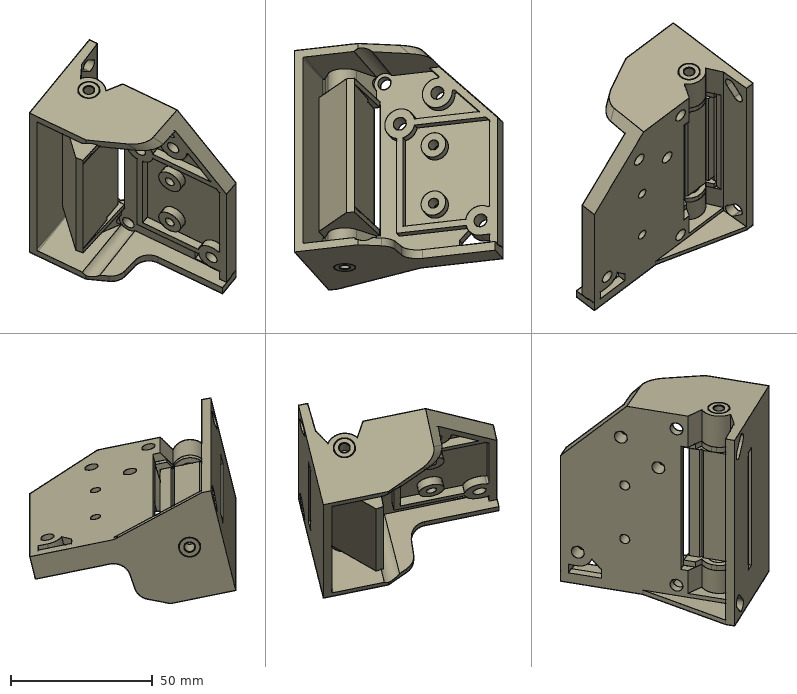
import cadquery as cq
import math

WIDTH = 68.0
DEPTH = 40.0
HEIGHT = 76.0
MID_Z = HEIGHT / 2
DRAFT = 1.2
DRAFT_SLOPE = math.tan(math.radians(DRAFT))

FLOOR_BACK = 28.9
FLOOR_FRONT = 25.8
RIM_FRONT = 22.65
LEDGE_FRONT = 19.8

WALL = 2.9
WALL_AT_FLOOR = WALL + FLOOR_FRONT * DRAFT_SLOPE
WALL_STOCK = 3.95
BACK_WALL = 1.8
PLATE_FRONT = 3.1
PLATE_MID = 3.7
PLATE_BACK = 3.35
SLOPE_START = 23.55
SLOPE = 0.463
BACK_SLOPE_END = 37.55
TIP_FRONT_X = 34.3
TIP_BACK_X = 35.6
ROUNDING = 6.1
CHAMFER_SUM = 119.5

RIM_INNER_X = 65.05
RIM_INNER_SUM = 115.4
RIB = 2.35
RIB_LEFT = 30.6
UPPER_RIB_Z = 51.75
LOWER_RIB_Z = 11.7
BOSS_RADIUS = 5.55
GROOVE_ROUNDING = 0.5
SCREW_RADIUS = 2.35
UPPER_BOSS = (45.7, 62.9)
MIDDLE_BOSS = (31.8, 52.9)
LOWER_BOSS = (61.6, 13.0)
PAD_RADIUS = 4.55
PAD_HOLE_RADIUS = 1.8
PADS = [(44.2, 43.5), (44.2, 21.5)]
CORNER_SCREW_X = 25.1
CORNER_SCREW_Z = 6.0
COUNTERBORE_RADIUS = 3.8
OPENING_LEFT = 52.9
OPENING_TOP = LOWER_BOSS[1] - BOSS_RADIUS
OPENING_BOTTOM = 3.5

AXIS_X = 12.15
AXIS_Y = 20.15
HUB_RADIUS = 5.7
HUB_TIP = 5.3
HUB_TIP_FRONT = 17.5
HUB_TIP_BACK = 23.1
HUB_END = 12.8
HUB_LEFT_X = 4.25
HUB_RIGHT_X = 22.2
NOTCH_RIGHT_X = 20.8
WINDOW_LEFT = 4.2
WINDOW_RIGHT = 23.5
PIN_RADIUS = 3.65
PIN_CLEARANCE = 0.2
BORE_RADIUS = 1.8
BORE_CHAMFER = 0.2
BORE_DEPTH = 6.1

SLOT_FRONT = 20.4
SLOT_BACK = 24.0
SLOT_LENGTH = 48.0
MOUNT_SLOT_Y = 33.9
MOUNT_SLOT_Z = 5.9
MOUNT_SLOT_LENGTH = 9.6
MOUNT_SLOT_WIDTH = 4.5

PADDLE_END = HUB_END
ARM_INNER = 14.9
CORE_END = 16.0
CREST_X = 19.15
CREST_Y = 0.3
PADDLE_LEFT = 4.1
PADDLE_RIGHT = 22.0
PADDLE_RIGHT_Y = 0.6
ARM_RIGHT = 23.4
ARM_BACK = FLOOR_FRONT
NOSE_X = 0.45
NOSE_Y = 23.1
GAP_FRONT = 16.7

REACH = 91.2


def box(x0, x1, y0, y1, z0, z1):
    return cq.Workplane("XY").box(x1 - x0, y1 - y0, z1 - z0, centered=False).translate((x0, y0, z0))


def facing_front(back):
    """Sketch plane in X and Z at depth `back`; extrusions run towards the front."""
    return cq.Workplane("XZ", origin=(0, back, 0))


def cylinder(center, radius, front, back):
    return facing_front(back).center(*center).circle(radius).extrude(back - front)


def mirror_z(body):
    """Copy of a body on the other side of the middle height."""
    return body.mirror("XY", (0, 0, MID_Z))


def outside_of(normal, point):
    """Everything beyond the plane through `point` whose outward direction is `normal`."""
    plane = cq.Plane(origin=point, xDir=(normal[2], 0, -normal[0]), normal=normal)
    return cq.Workplane(plane).rect(2 * REACH, 2 * REACH).extrude(REACH)


def slope_y(x):
    return SLOPE * (x - SLOPE_START)


beyond_chamfer = outside_of((1, -math.sqrt(2) * DRAFT_SLOPE, 1), (CHAMFER_SUM - HEIGHT, FLOOR_BACK, HEIGHT))
beyond_right = outside_of((1, -DRAFT_SLOPE, 0), (WIDTH, FLOOR_BACK, 0))


def mounting_plate():
    outline = [(0, 0), (WALL_STOCK, 0), (PLATE_MID, FLOOR_BACK), (PLATE_BACK, DEPTH), (0, DEPTH)]
    return cq.Workplane("XY").polyline(outline).close().extrude(HEIGHT)


def bottom_wall():
    outline = [
        (0, 0),
        (SLOPE_START, 0),
        (TIP_FRONT_X, slope_y(TIP_FRONT_X)),
        (TIP_BACK_X, LEDGE_FRONT),
        (WIDTH, LEDGE_FRONT),
        (WIDTH, FLOOR_BACK),
        (BACK_SLOPE_END, FLOOR_BACK),
        (PLATE_BACK, DEPTH),
        (0, DEPTH),
    ]
    wall = cq.Workplane("XY").polyline(outline).close().extrude(WALL_STOCK)
    for corner in (outline[2], outline[3]):
        edge = cq.selectors.NearestToPointSelector((*corner, WALL_STOCK / 2))
        wall = wall.edges(edge).fillet(ROUNDING)
    return wall


def top_wall():
    outline = [
        (0, 0),
        (SLOPE_START, 0),
        (WIDTH, slope_y(WIDTH)),
        (WIDTH, FLOOR_BACK),
        (0, FLOOR_BACK),
    ]
    block = cq.Workplane("XY", origin=(0, 0, HEIGHT - 2 * WALL_STOCK)).polyline(outline).close()
    block = block.extrude(3 * WALL_STOCK).cut(beyond_chamfer)
    corner_z = HEIGHT - WALL_STOCK / 2
    corner_x = CHAMFER_SUM - corner_z
    edge = cq.selectors.NearestToPointSelector((corner_x, slope_y(corner_x), corner_z))
    block = block.edges(edge).fillet(ROUNDING)
    return block.intersect(box(0, WIDTH, 0, DEPTH, HEIGHT - WALL_STOCK, HEIGHT))


def cavity():
    """Space between the walls; it widens towards the front by the draft angle."""
    inset = FLOOR_FRONT * DRAFT_SLOPE
    height = HEIGHT - 2 * WALL_AT_FLOOR
    return (
        facing_front(FLOOR_FRONT)
        .center(PLATE_FRONT + inset + REACH / 2, MID_Z)
        .rect(REACH, height)
        .extrude(FLOOR_FRONT, taper=-DRAFT)
    )


def back_cavity():
    """Space behind the floor, above the thin back part of the bottom wall."""
    outline = [(PLATE_MID, FLOOR_BACK), (WIDTH, FLOOR_BACK), (WIDTH, DEPTH), (PLATE_BACK, DEPTH)]
    return cq.Workplane("XY", origin=(0, 0, BACK_WALL)).polyline(outline).close().extrude(HEIGHT)


def floor_and_rim():
    def corner_cut_outline(right, corner_sum, back, depth):
        outline = [(0, 0), (right, 0), (right, corner_sum - right), (corner_sum - HEIGHT, HEIGHT), (0, HEIGHT)]
        return facing_front(back).polyline(outline).close().extrude(depth)

    full = corner_cut_outline(WIDTH, CHAMFER_SUM, FLOOR_BACK, FLOOR_BACK - RIM_FRONT)
    recess = corner_cut_outline(RIM_INNER_X, RIM_INNER_SUM, FLOOR_FRONT, FLOOR_FRONT - RIM_FRONT)
    return full.cut(recess).cut(beyond_chamfer).cut(beyond_right)


def ribs_and_bosses():
    upper_end = RIM_INNER_SUM - UPPER_RIB_Z
    lower_end = LOWER_BOSS[0]
    raised = box(MIDDLE_BOSS[0], upper_end, RIM_FRONT, FLOOR_FRONT, UPPER_RIB_Z, UPPER_RIB_Z + RIB)
    raised = raised.union(box(RIB_LEFT, lower_end, RIM_FRONT, FLOOR_FRONT, LOWER_RIB_Z, LOWER_RIB_Z + RIB))
    raised = raised.union(
        box(RIB_LEFT, RIB_LEFT + RIB, RIM_FRONT, FLOOR_FRONT, LOWER_RIB_Z, MIDDLE_BOSS[1])
    )
    raised = raised.union(
        box(LOWER_BOSS[0], RIM_INNER_X, RIM_FRONT, FLOOR_BACK, OPENING_TOP, LOWER_BOSS[1])
    )
    for center in (UPPER_BOSS, MIDDLE_BOSS, LOWER_BOSS):
        raised = raised.union(cylinder(center, BOSS_RADIUS, RIM_FRONT, FLOOR_BACK))
    for center in PADS:
        raised = raised.union(cylinder(center, PAD_RADIUS, RIM_FRONT, FLOOR_BACK))
    return raised


def floor_opening():
    """Opening beside the lower boss, with a slanted top left corner."""
    slant = LOWER_RIB_Z - OPENING_TOP
    outline = [
        (OPENING_LEFT, OPENING_BOTTOM),
        (RIM_INNER_X, OPENING_BOTTOM),
        (RIM_INNER_X, OPENING_TOP),
        (LOWER_BOSS[0], LOWER_RIB_Z),
        (OPENING_LEFT + slant, LOWER_RIB_Z),
        (OPENING_LEFT, OPENING_TOP),
    ]
    return facing_front(FLOOR_BACK).polyline(outline).close().extrude(FLOOR_BACK - RIM_FRONT)


def front_relief():
    """Floor with its rim, ribs and bosses; the sharp grooves between bosses and rim are rounded."""
    relief = floor_and_rim().cut(floor_opening()).union(ribs_and_bosses())
    to_slant = (RIM_INNER_SUM - sum(UPPER_BOSS)) / math.sqrt(2)
    half_chord = math.sqrt(BOSS_RADIUS**2 - to_slant**2)
    to_side = RIM_INNER_X - LOWER_BOSS[0]
    grooves = [(RIM_INNER_X, LOWER_BOSS[1] + math.sqrt(BOSS_RADIUS**2 - to_side**2))]
    for along in (half_chord, -half_chord):
        x = UPPER_BOSS[0] + (to_slant + along) / math.sqrt(2)
        z = UPPER_BOSS[1] + (to_slant - along) / math.sqrt(2)
        grooves.append((x, z))
    for x, z in grooves:
        edge = cq.selectors.NearestToPointSelector((x, (RIM_FRONT + FLOOR_FRONT) / 2, z))
        relief = relief.edges(edge).fillet(GROOVE_ROUNDING)
    return relief


def hub():
    """Block at the bottom that carries the hinge pin, bulging towards the front."""
    left, right = AXIS_X - HUB_TIP, AXIS_X + HUB_TIP
    flank = (FLOOR_FRONT - HUB_TIP_FRONT) / (HUB_RIGHT_X - right)
    ledge_y = HUB_TIP_FRONT + flank * (left - HUB_LEFT_X)
    return (
        cq.Workplane("XY")
        .moveTo(PLATE_FRONT, FLOOR_BACK)
        .lineTo(PLATE_FRONT, ledge_y)
        .lineTo(HUB_LEFT_X, ledge_y)
        .lineTo(left, HUB_TIP_FRONT)
        .threePointArc((AXIS_X, AXIS_Y - HUB_RADIUS), (right, HUB_TIP_FRONT))
        .lineTo(HUB_RIGHT_X, FLOOR_FRONT)
        .lineTo(HUB_RIGHT_X, FLOOR_BACK)
        .close()
        .extrude(HUB_END)
    )


def hinge_notch():
    """Recess behind the hubs and the paddle, open at the top and closed by the bottom wall."""
    return (
        cq.Workplane("XY", origin=(0, 0, WALL_AT_FLOOR))
        .moveTo(PLATE_MID, FLOOR_BACK)
        .lineTo(AXIS_X - HUB_TIP, HUB_TIP_BACK)
        .threePointArc((AXIS_X, AXIS_Y + HUB_RADIUS), (AXIS_X + HUB_TIP, HUB_TIP_BACK))
        .lineTo(NOTCH_RIGHT_X, FLOOR_BACK)
        .close()
        .extrude(HEIGHT)
    )


def mount_slot():
    """Slanted slot through the plate, near its bottom back corner."""
    return (
        cq.Workplane("YZ", origin=(0, MOUNT_SLOT_Y, MOUNT_SLOT_Z))
        .slot2D(MOUNT_SLOT_LENGTH, MOUNT_SLOT_WIDTH, 45)
        .extrude(WALL_STOCK)
    )


def counterbore():
    """Drafted clearance for the head of a corner screw."""
    return (
        facing_front(FLOOR_FRONT)
        .center(CORNER_SCREW_X, CORNER_SCREW_Z)
        .circle(COUNTERBORE_RADIUS)
        .extrude(FLOOR_FRONT, taper=-DRAFT)
    )


def build_housing():
    body = mounting_plate().union(bottom_wall()).union(top_wall()).cut(cavity()).cut(back_cavity())
    body = body.union(front_relief())
    body = body.cut(
        box(WINDOW_LEFT, WINDOW_RIGHT, FLOOR_FRONT, FLOOR_BACK, HUB_END, HEIGHT - HUB_END)
    )
    body = body.union(hub()).union(mirror_z(hub())).cut(hinge_notch())
    body = body.cut(
        box(0, WALL_STOCK, SLOT_FRONT, SLOT_BACK, MID_Z - SLOT_LENGTH / 2, MID_Z + SLOT_LENGTH / 2)
    )
    corner_screw = cylinder((CORNER_SCREW_X, CORNER_SCREW_Z), SCREW_RADIUS, FLOOR_FRONT, FLOOR_BACK)
    pin_hole = cq.Workplane("XY").center(AXIS_X, AXIS_Y).circle(PIN_RADIUS + PIN_CLEARANCE).extrude(HUB_END)
    for tool in (counterbore(), corner_screw, pin_hole, mount_slot()):
        body = body.cut(tool).cut(mirror_z(tool))
    for center in (UPPER_BOSS, MIDDLE_BOSS, LOWER_BOSS):
        body = body.cut(cylinder(center, SCREW_RADIUS, RIM_FRONT, FLOOR_BACK))
    for center in PADS:
        body = body.cut(cylinder(center, PAD_HOLE_RADIUS, RIM_FRONT, FLOOR_BACK))
    return body


def build_paddle():
    """Wedge-shaped handle: a core between two arms that turn on the pins."""
    slant_end_y = CREST_Y + CREST_X - PADDLE_LEFT
    core_outline = [
        (PADDLE_LEFT, slant_end_y),
        (CREST_X, CREST_Y),
        (PADDLE_RIGHT, PADDLE_RIGHT_Y),
        (PADDLE_RIGHT, SLOT_BACK),
        (PADDLE_LEFT, SLOT_BACK),
    ]
    core = (
        cq.Workplane("XY", origin=(0, 0, PADDLE_END))
        .polyline(core_outline)
        .close()
        .extrude(HEIGHT - 2 * PADDLE_END)
    )
    arm_outline = [
        (PADDLE_LEFT, slant_end_y),
        (CREST_X, CREST_Y),
        (PADDLE_RIGHT, PADDLE_RIGHT_Y),
        (ARM_RIGHT, ARM_BACK),
        (PADDLE_LEFT, ARM_BACK),
    ]
    arm = (
        cq.Workplane("XY", origin=(0, 0, PADDLE_END))
        .polyline(arm_outline)
        .close()
        .extrude(ARM_INNER - PADDLE_END)
    )
    tongue_outline = [
        (NOSE_X, NOSE_Y),
        (NOSE_X + NOSE_Y - SLOT_FRONT, SLOT_FRONT),
        (PADDLE_LEFT, SLOT_FRONT),
        (PADDLE_LEFT, SLOT_BACK),
        (NOSE_X + SLOT_BACK - NOSE_Y, SLOT_BACK),
    ]
    tongue = (
        cq.Workplane("XY", origin=(0, 0, CORE_END))
        .polyline(tongue_outline)
        .close()
        .extrude(HEIGHT - 2 * CORE_END)
    )
    gap = box(0, WIDTH, GAP_FRONT, DEPTH, ARM_INNER, CORE_END)
    pin_hole = (
        cq.Workplane("XY", origin=(0, 0, PADDLE_END))
        .center(AXIS_X, AXIS_Y)
        .circle(PIN_RADIUS)
        .extrude(ARM_INNER - PADDLE_END)
    )
    paddle = core.union(arm).union(mirror_z(arm)).union(tongue).cut(hinge_notch())
    for tool in (gap, pin_hole):
        paddle = paddle.cut(tool).cut(mirror_z(tool))
    return paddle


def build_pin():
    """Hinge pin with a blind bore in its outer end, at the bottom of the housing."""
    pin = cq.Workplane("XY").center(AXIS_X, AXIS_Y).circle(PIN_RADIUS).extrude(ARM_INNER)
    pin = pin.faces("<Z").workplane(origin=(AXIS_X, AXIS_Y, 0)).hole(2 * BORE_RADIUS, BORE_DEPTH)
    return pin.faces("<Z").edges("%CIRCLE").edges(cq.selectors.RadiusNthSelector(0)).chamfer(BORE_CHAMFER)


housing = build_housing()
paddle = build_paddle()
lower_pin = build_pin()
pins = [lower_pin, mirror_z(lower_pin)]

result = cq.Compound.makeCompound([housing.val(), paddle.val(), *[pin.val() for pin in pins]])